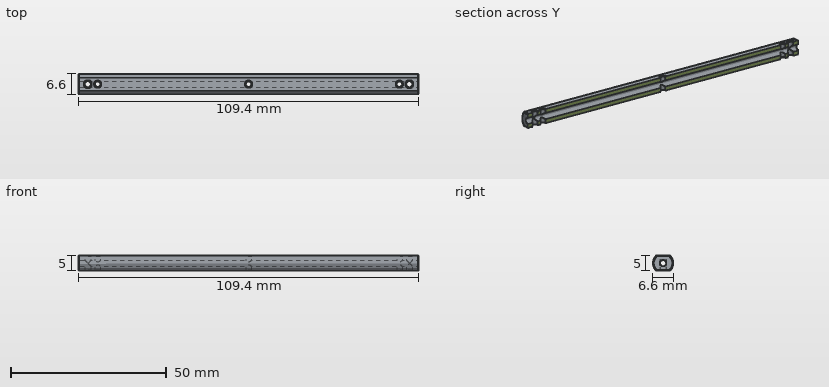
import cadquery as cq

length = 109.4
rod_diameter = 6.6
flat_height = 5.0

end_chamfer = 0.3

axial_hole_diameter = 2.0
pin_hole_diameter = 1.8
end_hole_diameter = 2.0
countersink_depth = 0.3

end_hole_offset = 3.1
pin_hole_offset = 6.2


def make_rod():
    """Round bar with flats above and below and chamfered ends."""
    bar = cq.Workplane("YZ").circle(rod_diameter / 2).extrude(length / 2, both=True)
    flats_envelope = cq.Workplane("XY").box(length, rod_diameter, flat_height)
    return bar.intersect(flats_envelope).faces("<X or >X").chamfer(end_chamfer)


def make_cross_hole(x, diameter):
    """Cutter for a vertical through hole countersunk on both flats."""
    radius = diameter / 2
    half_height = flat_height / 2
    mouth_radius = radius + countersink_depth
    profile = [
        (0, -half_height),
        (mouth_radius, -half_height),
        (radius, countersink_depth - half_height),
        (radius, half_height - countersink_depth),
        (mouth_radius, half_height),
        (0, half_height),
    ]
    cutter = cq.Workplane("XZ").polyline(profile).close().revolve(360, (0, 0, 0), (0, 1, 0))
    return cutter.translate((x, 0, 0))


def make_axial_hole():
    """Cutter for the bore running the full length of the rod."""
    return cq.Workplane("YZ").circle(axial_hole_diameter / 2).extrude(length / 2, both=True)


end_hole_x = length / 2 - end_hole_offset
pin_hole_x = length / 2 - pin_hole_offset

cross_holes = [
    (-end_hole_x, end_hole_diameter),
    (-pin_hole_x, pin_hole_diameter),
    (0, pin_hole_diameter),
    (pin_hole_x, pin_hole_diameter),
    (end_hole_x, end_hole_diameter),
]

result = make_rod().cut(make_axial_hole())
for hole_x, hole_diameter in cross_holes:
    result = result.cut(make_cross_hole(hole_x, hole_diameter))